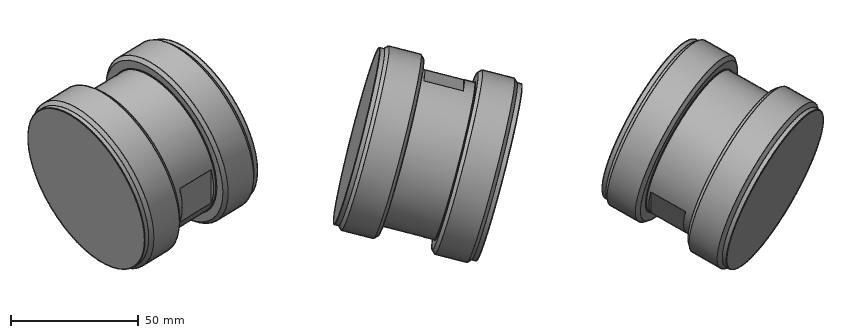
import cadquery as cq

overall_length = 58.0
rim_diameter = 74.9
shoulder_diameter = 72.0
neck_diameter = 64.0
neck_length = 22.0
shoulder_length = 2.0
rim_chamfer = (rim_diameter - shoulder_diameter) / 2
end_chamfer = 0.2
neck_root_chamfer = 0.3

flat_spacing = 61.0
flat_length = 16.0
flat_center_y = 1.6

half_length = overall_length / 2
half_neck = neck_length / 2
rim_radius = rim_diameter / 2
shoulder_radius = shoulder_diameter / 2
neck_radius = neck_diameter / 2


def spool():
    """Revolve the stepped half profile (radius, Y) around the Y axis."""
    rim_end = half_length - shoulder_length
    upper_profile = [
        (neck_radius, half_neck - neck_root_chamfer),
        (neck_radius + neck_root_chamfer, half_neck),
        (shoulder_radius, half_neck),
        (rim_radius, half_neck + rim_chamfer),
        (rim_radius, rim_end - rim_chamfer),
        (shoulder_radius, rim_end),
        (shoulder_radius, half_length - end_chamfer),
        (shoulder_radius - end_chamfer, half_length),
        (0, half_length),
    ]
    lower_profile = [(radius, -y) for radius, y in reversed(upper_profile)]
    profile = cq.Workplane("XY").polyline(lower_profile + upper_profile).close()
    return profile.revolve(360, (0, 0, 0), (0, 1, 0))


def flat_cutter(side):
    """Block that removes the neck beyond one flat; side is +1 or -1 along X."""
    depth = neck_radius - flat_spacing / 2
    center_x = side * (flat_spacing / 2 + depth / 2)
    block = cq.Workplane("XY").box(depth, flat_length, neck_diameter)
    return block.translate((center_x, flat_center_y, 0))


result = spool()
for side in (-1, 1):
    result = result.cut(flat_cutter(side))